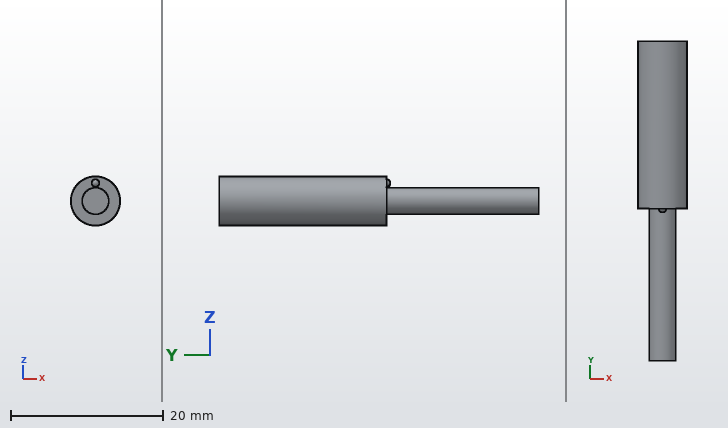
import cadquery as cq

body_diameter = 6.5
body_length = 22.0
shaft_diameter = 3.5
shaft_length = 20.0
bead_diameter = 1.0
bead_offset = 2.35

body_front_y = 0.0


def cylinder_along_y(diameter, start_y, length):
    """Solid cylinder on the Y axis, running from start_y toward +Y."""
    return (
        cq.Workplane("XZ", origin=(0, start_y, 0))
        .circle(diameter / 2)
        .extrude(-length)
    )


def bead():
    """Small sphere centred on the shoulder, half sunk into the body."""
    return cq.Workplane("XY").sphere(bead_diameter / 2).translate((0, body_front_y, bead_offset))


body = cylinder_along_y(body_diameter, body_front_y, body_length)
shaft = cylinder_along_y(shaft_diameter, body_front_y - shaft_length, shaft_length)

result = body.union(shaft).union(bead())